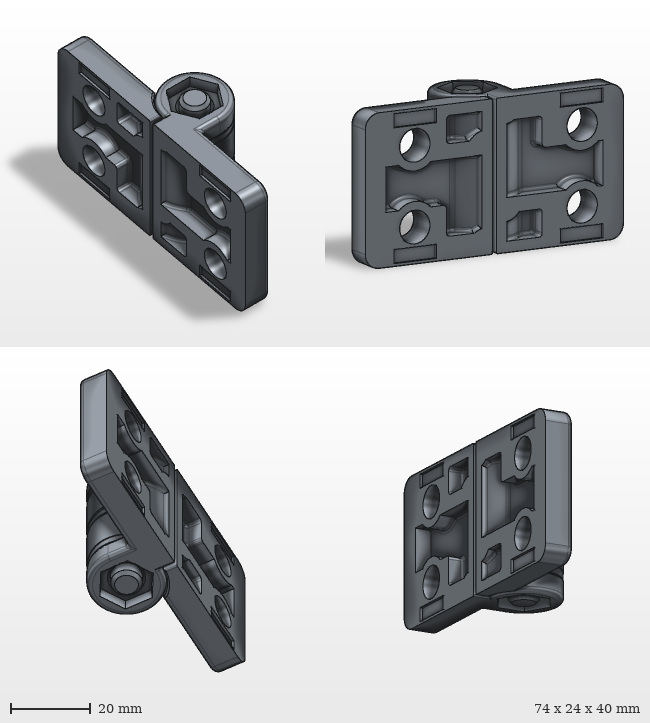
import cadquery as cq
import math


length = 74.0
height = 40.0
knuckle_radius = 10.0
plate_front = -14.0
plate_back = -6.0
gap_half = 0.555

washer_diameter = 19.7
washer_thickness = 2.0
inner_knuckle_length = 11.1
pin_diameter = 7.9
bore_diameter = 8.0

plate_corner_radius = 4.0
gap_corner_radius = 0.45
outer_edge_radius = 1.5
knuckle_root_radius = 1.0
knuckle_chamfer = 0.5
clearance_radius = 10.3
clearance_chamfer = 0.5

left_screw_x = 22.8
right_screw_x = 25.15
screw_z = 10.5
screw_hole_front_diameter = 8.65
screw_hole_back_diameter = 8.15

label_shift = 0.15
label_z = 17.5
label_length = 12.1
label_width = 3.6
label_depth = 0.75

hex_across_flats = 13.2
hex_depth = 3.0
hex_draft_angle = 4.0
bore_mouth_diameter = 9.6
pin_tip_diameter = 6.0

pocket_floor = -9.5
pocket_wall_radius = 13.5
pocket_root_radius = 2.0
pocket_floor_radius = 0.95
pocket_corner_radius = 1.0
pocket_near_x = -3.6
pocket_step_x = -13.7
pocket_far_x = -31.1
pocket_arm_z = 5.85
pocket_low_z = -14.0
small_pocket_low_z = 9.85
small_pocket_high_z = 17.1
screw_boss_radius = 6.6
hump_radius = 6.9
hump_x = -1.85
large_pocket_hump_z = -19.7
small_pocket_hump_z = 5.5

half_height = height / 2
washer_half = washer_thickness / 2
inner_knuckle_end = washer_half + inner_knuckle_length
outer_knuckle_start = inner_knuckle_end + washer_thickness
plate_thickness = plate_back - plate_front
tolerance = 0.1


def box(x0, x1, y0, y1, z0, z1):
    return cq.Workplane("XY").box(x1 - x0, y1 - y0, z1 - z0, centered=False).translate((x0, y0, z0))


def cylinder(diameter, z0, z1):
    return cq.Workplane("XY").workplane(offset=z0).circle(diameter / 2).extrude(z1 - z0)


def cylinder_along_y(x, z, radius, y0, y1):
    return cq.Workplane("XZ", origin=(x, y0, z)).circle(radius).extrude(y0 - y1)


def edges_near(low, high):
    """Selector for edges whose middle lies between two points, within the tolerance."""
    return cq.selectors.BoxSelector(
        [value - tolerance for value in low], [value + tolerance for value in high]
    )


def make_plate():
    plate = box(-length / 2, -gap_half, plate_front, plate_back, -half_height, half_height)
    plate = plate.edges("|Y and <X").fillet(plate_corner_radius)
    plate = plate.faces(">Y").edges("not >X").fillet(outer_edge_radius)
    return plate.edges("|Y and >X").fillet(gap_corner_radius)


def make_knuckle(z0, z1):
    """Knuckle with a square heel that carries it into the plate."""
    r = knuckle_radius
    return (
        cq.Workplane("XY").workplane(offset=z0)
        .moveTo(0, -r).threePointArc((r * math.sqrt(0.5), r * math.sqrt(0.5)), (-r, 0))
        .lineTo(-r, -r).close().extrude(z1 - z0)
    )


def clearance(z0, z1):
    return cylinder(2 * clearance_radius, z0, z1)


def clearance_mouth():
    """Chamfer where the upper clearance opens into the end face."""
    return cq.Workplane(cq.Solid.makeCone(
        clearance_radius, clearance_radius + clearance_chamfer, clearance_chamfer,
        cq.Vector(0, 0, half_height - clearance_chamfer),
    ))


def hex_recess():
    """Tapered hexagon in the lower end face with two corners on the YZ plane, and the bore mouth."""
    corner_diameter = hex_across_flats / math.cos(math.pi / 6)
    hexagon = (
        cq.Workplane("XY").workplane(offset=-half_height)
        .transformed(rotate=(0, 0, 30))
        .polygon(6, corner_diameter)
        .extrude(hex_depth, taper=hex_draft_angle)
    )
    floor_z = -half_height + hex_depth
    mouth_depth = (bore_mouth_diameter - bore_diameter) / 2
    mouth = cq.Workplane(cq.Solid.makeCone(
        bore_mouth_diameter / 2, bore_diameter / 2, mouth_depth, cq.Vector(0, 0, floor_z)
    ))
    return hexagon.union(mouth)


def pocket_space():
    """Everything in front of the flat pocket floor and of the wall around the knuckle."""
    blend_y = pocket_floor - pocket_root_radius
    blend_reach = pocket_wall_radius + pocket_root_radius
    blend_x = -math.sqrt(blend_reach**2 - blend_y**2)
    wall_share = pocket_wall_radius / blend_reach
    wall_x = blend_x * wall_share
    wall_y = blend_y * wall_share
    blend_middle_angle = (math.pi / 2 + math.atan2(wall_y - blend_y, wall_x - blend_x)) / 2
    blend_middle = (
        blend_x + pocket_root_radius * math.cos(blend_middle_angle),
        blend_y + pocket_root_radius * math.sin(blend_middle_angle),
    )
    wall_middle_angle = (math.atan2(wall_y, wall_x) - math.pi / 2) / 2
    wall_middle = (
        pocket_wall_radius * math.cos(wall_middle_angle),
        pocket_wall_radius * math.sin(wall_middle_angle),
    )
    return (
        cq.Workplane("XY").workplane(offset=-half_height)
        .moveTo(-length / 2, plate_front).lineTo(-length / 2, pocket_floor)
        .lineTo(blend_x, pocket_floor)
        .threePointArc(blend_middle, (wall_x, wall_y))
        .threePointArc(wall_middle, (0, -pocket_wall_radius))
        .lineTo(0, plate_front).close().extrude(height)
    )


def round_corners(prism, corners):
    for x, z in corners:
        corner = edges_near((x, plate_front, z), (x, plate_back, z))
        prism = prism.edges("|Y").edges(corner).fillet(pocket_corner_radius)
    return prism


def round_floor(pocket):
    """Round the pocket where its walls meet its floor, but not at the far end wall."""
    def is_floor_edge(edge):
        bounds = edge.BoundingBox()
        at_front = bounds.ymin < plate_front + tolerance
        at_far_end = bounds.xmax < pocket_far_x + tolerance
        x = edge.Center().x
        within_floor = pocket_step_x + tolerance < x < pocket_near_x - tolerance
        joins_floor = within_floor and edge.geomType() == "LINE" and bounds.xlen < tolerance
        return not (at_front or at_far_end or joins_floor)

    edges = [edge for edge in pocket.edges().vals() if is_floor_edge(edge)]
    return pocket.newObject(edges).fillet(pocket_floor_radius)


def make_large_pocket(screw_x):
    arm = box(pocket_far_x, pocket_near_x, plate_front, plate_back, -pocket_arm_z, pocket_arm_z)
    leg = box(pocket_step_x, pocket_near_x, plate_front, plate_back, pocket_low_z, pocket_arm_z)
    outline = arm.union(leg).clean()
    outline = round_corners(outline, [(pocket_step_x, -pocket_arm_z), (pocket_step_x, pocket_low_z)])
    for z in (-screw_z, screw_z):
        outline = outline.cut(cylinder_along_y(-screw_x, z, screw_boss_radius, plate_front, plate_back))
    outline = outline.cut(cylinder_along_y(hump_x, large_pocket_hump_z, hump_radius, plate_front, plate_back))
    return round_floor(outline.intersect(pocket_space()))


def make_small_pocket():
    outline = box(
        pocket_step_x, pocket_near_x, plate_front, plate_back, small_pocket_low_z, small_pocket_high_z
    )
    outline = round_corners(
        outline, [(pocket_step_x, small_pocket_low_z), (pocket_step_x, small_pocket_high_z)]
    )
    outline = outline.cut(cylinder_along_y(hump_x, small_pocket_hump_z, hump_radius, plate_front, plate_back))
    return round_floor(outline.intersect(pocket_space()))


def screw_hole(screw_x, z):
    return cq.Workplane(cq.Solid.makeCone(
        screw_hole_front_diameter / 2, screw_hole_back_diameter / 2, plate_thickness,
        cq.Vector(-screw_x, plate_front, z), cq.Vector(0, 1, 0),
    ))


def label_recess(screw_x, z):
    return cq.Workplane("XY").box(label_length, 2 * label_depth, label_width).translate(
        (label_shift - screw_x, plate_front, z)
    )


def make_leaf(screw_x):
    """Leaf on the -X side, with the inner knuckle above the middle and the end knuckle at -Z."""
    inner = make_knuckle(washer_half, inner_knuckle_end).faces("<Z").chamfer(knuckle_chamfer)
    end = make_knuckle(-half_height, -outer_knuckle_start).faces(">Z").chamfer(knuckle_chamfer)
    end = end.faces("<Z").fillet(outer_edge_radius)

    leaf = make_plate().cut(clearance(inner_knuckle_end, half_height)).cut(clearance_mouth())
    leaf = leaf.cut(clearance(-outer_knuckle_start, washer_half))
    leaf = leaf.union(inner).union(end)

    root = edges_near((-knuckle_radius, plate_back, -height), (-knuckle_radius, plate_back, height))
    leaf = leaf.edges("|Z").edges(root).fillet(knuckle_root_radius)

    leaf = leaf.cut(cylinder(bore_diameter, -half_height, half_height)).cut(hex_recess())
    for pocket in (make_large_pocket(screw_x), make_small_pocket()):
        leaf = leaf.cut(pocket)
    for side in (-1, 1):
        leaf = leaf.cut(screw_hole(screw_x, side * screw_z))
        leaf = leaf.cut(label_recess(screw_x, side * label_z))
    return leaf


def make_washer(z):
    washer = cylinder(washer_diameter, z - washer_half, z + washer_half)
    return washer.cut(cylinder(bore_diameter, z - washer_half, z + washer_half))


def make_pin():
    tip_chamfer = (pin_diameter - pin_tip_diameter) / 2
    return cylinder(pin_diameter, -half_height, half_height).faces("<Z or >Z").chamfer(tip_chamfer)


left_leaf = make_leaf(left_screw_x)
right_leaf = make_leaf(right_screw_x).rotate((0, 0, 0), (0, 1, 0), 180)

washer_pitch = inner_knuckle_length + washer_thickness
washers = [make_washer(step * washer_pitch) for step in (-1, 0, 1)]
pin = make_pin()

result = cq.Compound.makeCompound(
    [left_leaf.val(), right_leaf.val(), pin.val(), *[washer.val() for washer in washers]]
)